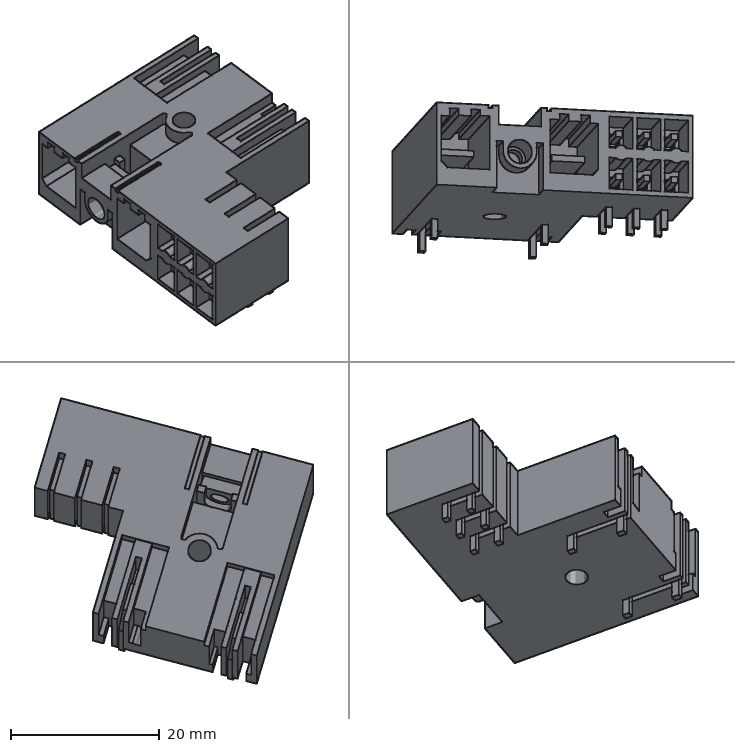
import cadquery as cq
import math


TOTAL_WIDTH = 35.26
POWER_WIDTH = 22.9
POWER_DEPTH = 28.3
SIGNAL_DEPTH = 13.25
TOTAL_HEIGHT = 14.0
LEG_LENGTH = 2.6
HEIGHT = TOTAL_HEIGHT - LEG_LENGTH
SCREW_X = POWER_WIDTH / 2
SIDES = (-1, 1)

SOCKET_OFFSET = 7.48
SOCKET_WIDTH = 6.65
SOCKET_DEPTH = 13.5
SOCKET_FLOOR = 2.45
SOCKET_TOP_OUTER = 9.6
SOCKET_TOP_INNER = 9.87
SOCKET_TOP_MIDDLE = 9.75
KEY_SLOT_TOP = 10.68
KEY_SLOT_WIDTH = 1.27
OUTER_KEY_OFFSET = 1.57
INNER_KEY_OFFSET = 1.38
SOCKET_CHAMFER = 0.85

POWER_OFFSET = 7.62
BLADE_WIDTH = 4.5
BLADE_THICKNESS = 0.85
BLADE_Z = 5.65
BLADE_TIP_Y = 4.5
PLATE_THICKNESS = 0.82
FRONT_LEG_Y = 19.0
FRONT_LEG_WIDTH = 1.0
BACK_LEG_WIDTH = 1.1
PLATE_BACK_Y = 27.7
PLATE_STEP_Y = 21.6
PLATE_SLOPE_Y = 25.43
PLATE_TOP = 7.5

RECESS_FRONT_Y = 16.6
RECESS_OUTER = 10.65
RECESS_INNER = 4.08
RECESS_FLOORS = {-1: 9.93, 1: 9.7}
CONTACT_BLOCK_WIDTH = 2.32
CONTACT_BLOCK_DROP = 0.25
NOTCH_FRONT_Y = 25.7
NOTCH_INNER = 4.78
NOTCH_FLOOR = 3.0
DRAIN_WIDTH = 1.18
LEDGE_WIDTH = 0.55
LEDGE_HEIGHT = 0.15
LEDGE_BLEND = 0.52

SIGNAL_PITCH = 3.81
FIRST_SIGNAL_X = 25.38
SIGNAL_XS = [FIRST_SIGNAL_X + i * SIGNAL_PITCH for i in range(3)]
SIGNAL_SIZE = 0.85
SIGNAL_TIP_Y = 1.3
SIGNAL_ROWS = ((2.7, 7.98), (8.65, 11.75))
SIGNAL_SLOT_FRONT_Y = SIGNAL_ROWS[0][1] - SIGNAL_SIZE / 2

CELL_WIDTH = 3.25
CELL_DEPTH = 6.0
LOWER_CELL = (0.67, 5.0)
UPPER_CELL = (6.37, 10.68)
KEY_WIDTH = 1.48
UPPER_KEY_HEIGHT = 0.4
LOWER_KEY_HEIGHT = 0.28
COLLAR_BASE_RADIUS = 1.1
COLLAR_TIP_RADIUS = 0.8
COLLAR_LENGTH = 0.5

CHANNEL_WIDTH = 5.83
CHANNEL_END_RADIUS = 0.385
CHANNEL_FLOOR = 9.35
FRONT_WALL_TOP = 8.77
MOUNT_HOLE_Y = 15.97
MOUNT_HOLE_DIAMETER = 3.05
MOUNT_BOSS_RADIUS = 2.47
SCREW_Z = 5.17
SCREW_HOLE_DIAMETER = 3.3
NUT_POCKET_FRONT_Y = 4.2
NUT_POCKET_BACK_Y = 5.95
RETAINER_BACK_Y = 6.9
RETAINER_TOP = 8.6
RETAINER_RADIUS = 1.85
SCREW_POCKET_BACK_Y = 8.8
NUT_SIZE = 5.4
NUT_THICKNESS = 1.62
NUT_FRONT_Y = 4.27
NUT_THREAD_DIAMETER = 2.5
FRONT_RECESS_WIDTH = 6.4
FRONT_RECESS_DEPTH = 2.7
FRONT_RECESS_TOP = 6.5
SCREW_BOSS_RADIUS = 2.3
GROOVE_OFFSET = 4.04
GROOVE_WIDTH = 0.58
GROOVE_LENGTH = 7.9
GROOVE_DEPTH = 0.4


def block(x_range, y_range, z_range):
    """Box between two X, two Y and two Z values given in any order."""
    (x0, x1), (y0, y1), (z0, z1) = (sorted(r) for r in (x_range, y_range, z_range))
    return cq.Workplane("XY").box(x1 - x0, y1 - y0, z1 - z0, centered=False).translate((x0, y0, z0))


def centred(middle, width):
    """Range of the given width about a middle value."""
    return (middle - width / 2, middle + width / 2)


def rod(x, z, radius, y_range):
    """Cylinder along Y."""
    y0, y1 = y_range
    return cq.Workplane("XZ", origin=(x, y0, z)).circle(radius).extrude(y0 - y1)


def power_contact(x):
    """Horizontal blade that continues as an upright plate with two solder legs."""
    blade_bottom, blade_top = centred(BLADE_Z, BLADE_THICKNESS)
    front_leg_back = FRONT_LEG_Y + FRONT_LEG_WIDTH
    back_leg_front = PLATE_BACK_Y - BACK_LEG_WIDTH
    blade = block(centred(x, BLADE_WIDTH), (BLADE_TIP_Y, FRONT_LEG_Y), (blade_bottom, blade_top))
    plate = (
        cq.Workplane("YZ", origin=(x, 0, 0))
        .moveTo(FRONT_LEG_Y, -LEG_LENGTH)
        .lineTo(front_leg_back, -LEG_LENGTH)
        .lineTo(front_leg_back, blade_bottom)
        .lineTo(back_leg_front, blade_bottom)
        .lineTo(back_leg_front, -LEG_LENGTH)
        .lineTo(PLATE_BACK_Y, -LEG_LENGTH)
        .lineTo(PLATE_BACK_Y, blade_bottom)
        .lineTo(PLATE_SLOPE_Y, PLATE_TOP)
        .lineTo(PLATE_STEP_Y, PLATE_TOP)
        .lineTo(PLATE_STEP_Y, blade_top)
        .lineTo(FRONT_LEG_Y, blade_top)
        .close()
        .extrude(PLATE_THICKNESS / 2, both=True)
    )
    return blade.union(plate)


def signal_contact(x, z, leg_y):
    """Square wire bent down into a solder leg."""
    leg_front, leg_back = centred(leg_y, SIGNAL_SIZE)
    bottom, top = centred(z, SIGNAL_SIZE)
    width = centred(x, SIGNAL_SIZE)
    wire = block(width, (SIGNAL_TIP_Y, leg_back), (bottom, top))
    leg = block(width, (leg_front, leg_back), (-LEG_LENGTH, top))
    return wire.union(leg)


def square_nut():
    """Square nut standing in its pocket behind the front wall."""
    nut_y = (NUT_FRONT_Y, NUT_FRONT_Y + NUT_THICKNESS)
    body = block(centred(SCREW_X, NUT_SIZE), nut_y, centred(SCREW_Z, NUT_SIZE))
    return body.cut(rod(SCREW_X, SCREW_Z, NUT_THREAD_DIAMETER / 2, nut_y))


def envelope():
    power = block((0, POWER_WIDTH), (0, POWER_DEPTH), (0, HEIGHT))
    signal = block((0, TOTAL_WIDTH), (0, SIGNAL_DEPTH), (0, HEIGHT))
    return power.union(signal)


def power_socket(side):
    """Keyed cavity for a power plug; side points from the symmetry plane outward."""
    centre = SCREW_X + side * SOCKET_OFFSET
    half = SOCKET_WIDTH / 2
    outer_key = centred(OUTER_KEY_OFFSET, KEY_SLOT_WIDTH)
    inner_key = centred(-INNER_KEY_OFFSET, KEY_SLOT_WIDTH)
    outline = [
        (-half, SOCKET_FLOOR),
        (half - SOCKET_CHAMFER, SOCKET_FLOOR),
        (half, SOCKET_FLOOR + SOCKET_CHAMFER),
        (half, SOCKET_TOP_OUTER),
        (outer_key[1], SOCKET_TOP_OUTER),
        (outer_key[1], KEY_SLOT_TOP),
        (outer_key[0], KEY_SLOT_TOP),
        (outer_key[0], SOCKET_TOP_MIDDLE),
        (inner_key[1], SOCKET_TOP_MIDDLE),
        (inner_key[1], KEY_SLOT_TOP),
        (inner_key[0], KEY_SLOT_TOP),
        (inner_key[0], SOCKET_TOP_INNER),
        (-half, SOCKET_TOP_INNER),
    ]
    points = [(centre + side * offset, z) for offset, z in outline]
    return cq.Workplane("XZ").polyline(points).close().extrude(-SOCKET_DEPTH)


def rear_recess(side):
    """Open recess behind a power socket, with the slotted block that holds the contact."""
    contact_x = SCREW_X + side * POWER_OFFSET
    outer_x = SCREW_X + side * RECESS_OUTER
    block_width = centred(contact_x, CONTACT_BLOCK_WIDTH)
    recess_width = (outer_x, SCREW_X + side * RECESS_INNER)
    notch_width = (outer_x, SCREW_X + side * NOTCH_INNER)
    recess = block(recess_width, (RECESS_FRONT_Y, POWER_DEPTH), (RECESS_FLOORS[side], HEIGHT))
    notch = block(notch_width, (NOTCH_FRONT_Y, POWER_DEPTH), (NOTCH_FLOOR, HEIGHT))
    contact_block = block(block_width, (RECESS_FRONT_Y, POWER_DEPTH), (0, HEIGHT - CONTACT_BLOCK_DROP))
    slot = block(centred(contact_x, PLATE_THICKNESS), (FRONT_LEG_Y, POWER_DEPTH), (0, HEIGHT))
    return recess.union(notch).cut(contact_block).union(slot)


def drain(side, wall_side):
    """Opening through a notch floor; wall_side tells on which side of the contact block it lies."""
    contact_x = SCREW_X + side * POWER_OFFSET
    near = contact_x + wall_side * CONTACT_BLOCK_WIDTH / 2
    return block((near, near + wall_side * DRAIN_WIDTH), (NOTCH_FRONT_Y, POWER_DEPTH), (0, NOTCH_FLOOR))


def notch_ledge():
    """Low ledge beside the right contact block, joined to the notch floor by a concave curve."""
    ledge_end = SCREW_X + POWER_OFFSET - CONTACT_BLOCK_WIDTH / 2
    ledge_start = ledge_end - LEDGE_WIDTH
    blend_start = ledge_start - LEDGE_BLEND
    top = NOTCH_FLOOR + LEDGE_HEIGHT
    blend_radius = (LEDGE_BLEND**2 + LEDGE_HEIGHT**2) / (2 * LEDGE_HEIGHT)
    half_angle = math.atan2(LEDGE_HEIGHT, LEDGE_BLEND)
    middle = (
        blend_start + blend_radius * math.sin(half_angle),
        NOTCH_FLOOR + blend_radius * (1 - math.cos(half_angle)),
    )
    return (
        cq.Workplane("XZ", origin=(0, NOTCH_FRONT_Y, 0))
        .moveTo(blend_start, NOTCH_FLOOR)
        .threePointArc(middle, (ledge_start, top))
        .lineTo(ledge_end, top)
        .lineTo(ledge_end, NOTCH_FLOOR)
        .close()
        .extrude(NOTCH_FRONT_Y - POWER_DEPTH)
    )


def key_ridge(x, z, height):
    """Rounded ridge along a signal socket, rising from z by a signed height."""
    half = KEY_WIDTH / 2
    return (
        cq.Workplane("XZ")
        .moveTo(x - half, z)
        .threePointArc((x, z + height), (x + half, z))
        .close()
        .extrude(-CELL_DEPTH)
    )


def collar(x, z):
    """Cone around a signal wire, standing on the socket bottom."""
    return (
        cq.Workplane("XZ", origin=(x, CELL_DEPTH, z))
        .circle(COLLAR_BASE_RADIUS)
        .workplane(offset=COLLAR_LENGTH)
        .circle(COLLAR_TIP_RADIUS)
        .loft()
    )


def signal_column(x):
    """Lower and upper socket of one column and the slot for the legs behind them."""
    width = centred(x, CELL_WIDTH)
    lower = block(width, (0, CELL_DEPTH), LOWER_CELL).cut(key_ridge(x, LOWER_CELL[1], -LOWER_KEY_HEIGHT))
    upper = block(width, (0, CELL_DEPTH), UPPER_CELL).cut(key_ridge(x, UPPER_CELL[0], UPPER_KEY_HEIGHT))
    slot = block(centred(x, SIGNAL_SIZE), (SIGNAL_SLOT_FRONT_Y, SIGNAL_DEPTH), (0, HEIGHT))
    column = lower.union(upper).union(slot)
    for z, _ in SIGNAL_ROWS:
        column = column.cut(collar(x, z))
    return column


def screw_channel():
    """Channel in the top whose back end wraps around the boss of the mounting hole."""
    half = CHANNEL_WIDTH / 2
    end_offset = half - CHANNEL_END_RADIUS
    end_distance = MOUNT_BOSS_RADIUS + CHANNEL_END_RADIUS
    end_drop = math.sqrt(end_distance**2 - end_offset**2)
    boss_share = MOUNT_BOSS_RADIUS / end_distance
    tangent_offset = end_offset * boss_share
    tangent_y = MOUNT_HOLE_Y - end_drop * boss_share
    end_y = MOUNT_HOLE_Y - end_drop
    end_top = end_y + CHANNEL_END_RADIUS
    rear = (
        cq.Workplane("XY", origin=(SCREW_X, 0, CHANNEL_FLOOR))
        .moveTo(-half, SCREW_POCKET_BACK_Y)
        .lineTo(-half, end_y)
        .threePointArc((-end_offset, end_top), (-tangent_offset, tangent_y))
        .threePointArc((0, MOUNT_HOLE_Y - MOUNT_BOSS_RADIUS), (tangent_offset, tangent_y))
        .threePointArc((end_offset, end_top), (half, end_y))
        .lineTo(half, SCREW_POCKET_BACK_Y)
        .close()
        .extrude(HEIGHT - CHANNEL_FLOOR)
    )
    front = block(centred(SCREW_X, CHANNEL_WIDTH), (0, SCREW_POCKET_BACK_Y), (FRONT_WALL_TOP, HEIGHT))
    return rear.union(front)


def nut_pocket():
    """Pocket for the nut and the screw tip, divided by a wall with a U-shaped notch."""
    pocket_floor = SCREW_Z - NUT_SIZE / 2
    retainer_y = (NUT_POCKET_BACK_Y, RETAINER_BACK_Y)
    pocket = block(
        centred(SCREW_X, CHANNEL_WIDTH),
        (NUT_POCKET_FRONT_Y, SCREW_POCKET_BACK_Y),
        (pocket_floor, FRONT_WALL_TOP),
    )
    notch = block(centred(SCREW_X, 2 * RETAINER_RADIUS), retainer_y, (SCREW_Z, RETAINER_TOP))
    retainer = (
        block(centred(SCREW_X, CHANNEL_WIDTH), retainer_y, (pocket_floor, RETAINER_TOP))
        .cut(notch)
        .cut(rod(SCREW_X, SCREW_Z, RETAINER_RADIUS, retainer_y))
    )
    return pocket.cut(retainer)


def front_recess():
    """Recess at the mating face around the U-shaped screw boss, open at the underside."""
    depth = (0, FRONT_RECESS_DEPTH)
    recess = block(centred(SCREW_X, FRONT_RECESS_WIDTH), depth, (0, FRONT_RECESS_TOP))
    boss_web = block(centred(SCREW_X, 2 * SCREW_BOSS_RADIUS), depth, (SCREW_Z, FRONT_RECESS_TOP))
    return recess.cut(boss_web).cut(rod(SCREW_X, SCREW_Z, SCREW_BOSS_RADIUS, depth))


def top_groove(side):
    groove_x = centred(SCREW_X + side * GROOVE_OFFSET, GROOVE_WIDTH)
    return block(groove_x, (0, GROOVE_LENGTH), (HEIGHT - GROOVE_DEPTH, HEIGHT))


def make_housing(contacts):
    housing = envelope()
    for side in SIDES:
        housing = housing.cut(power_socket(side)).cut(rear_recess(side)).cut(top_groove(side))
    for side, wall_side in ((-1, -1), (-1, 1), (1, 1)):
        housing = housing.cut(drain(side, wall_side))
    housing = housing.union(notch_ledge())
    for x in SIGNAL_XS:
        housing = housing.cut(signal_column(x))
    housing = housing.cut(screw_channel()).cut(nut_pocket()).cut(front_recess())
    housing = housing.cut(rod(SCREW_X, SCREW_Z, SCREW_HOLE_DIAMETER / 2, (0, NUT_POCKET_FRONT_Y)))
    mount_hole = cq.Workplane("XY").center(SCREW_X, MOUNT_HOLE_Y).circle(MOUNT_HOLE_DIAMETER / 2)
    housing = housing.cut(mount_hole.extrude(HEIGHT))
    for contact in contacts:
        housing = housing.cut(contact)
    return housing


power_contacts = [power_contact(SCREW_X + side * POWER_OFFSET) for side in SIDES]
signal_contacts = [signal_contact(x, z, leg_y) for x in SIGNAL_XS for z, leg_y in SIGNAL_ROWS]
nut = square_nut()
housing = make_housing(power_contacts + signal_contacts)
bodies = [housing, nut, *power_contacts, *signal_contacts]

result = cq.Compound.makeCompound([body.solids().val() for body in bodies])